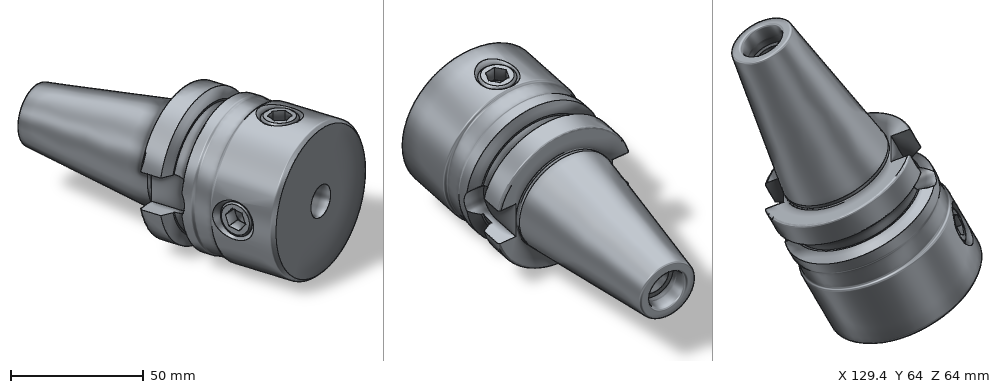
import cadquery as cq
import math


gauge_dia = 44.45
taper_ratio = 7 / 24
shank_length = 65.4
shank_end_fillet = 1.0
neck_dia = 44.0
neck_start = 0.8
neck_fillet = 0.5

flange_dia = 63.0
flange_start = 2.0
flange_fillet = 1.0
flange_end = 26.0
groove_dia = 52.7
groove_center = 16.6
groove_bottom_width = 5.0
groove_top_width = 10.06
groove_flank_angle = 30
collar_dia = 62.0
collar_start = 27.5

head_dia = 64.0
collar_end = 34.1
head_start = 36.0
head_end = 64.0
head_chamfer = 1.0
head_edge_radius = 1.1

keyway_width = 16.0
keyway_floor = 22.5
keyway_end = 23.0

through_dia = 13.5
pilot_dia = 17.0
pilot_length = 6.0
relief_dia = 17.6
relief_flare = 1.0
relief_end = 9.0
mouth_fillet = 1.0

screw_x = 45.4
screw_dia = 16.0
screw_face_dia = 12.7
screw_length = 16.0
seat_hole_dia = 14.38
seat_rim_dia = 18.6
hex_across_flats = 8.0
hex_depth = 6.0
hex_drill_dia = 8.0
hex_drill_angle = 120

screws_placement = [(0, 31.2, 38), (90, 30.4, 50)]


def s_curve(wire, start, end):
    """Add two equal tangent arcs that leave and arrive parallel to the axis."""
    dx = end[0] - start[0]
    dr = end[1] - start[1]
    middle = (start[0] + dx / 2, start[1] + dr / 2)
    wire = wire.tangentArcPoint(middle, relative=False)
    return wire.tangentArcPoint(end, relative=False)


def holder_blank():
    gauge_r = gauge_dia / 2
    small_r = (gauge_dia - shank_length * taper_ratio) / 2
    neck_r = neck_dia / 2
    flange_r = flange_dia / 2
    groove_r = groove_dia / 2
    collar_r = collar_dia / 2
    head_r = head_dia / 2
    half_bottom = groove_bottom_width / 2
    half_top = groove_top_width / 2
    flank_depth = (half_top - half_bottom) / math.tan(math.radians(groove_flank_angle))
    flank_r = flange_r - flank_depth
    bevel_x = head_end - head_chamfer
    bevel_r = head_r - head_edge_radius * (1 - math.cos(math.pi / 4))
    head_edge_start = bevel_x - head_edge_radius * math.sin(math.pi / 4)

    outline = (
        cq.Workplane("XY")
        .moveTo(-shank_length, 0)
        .lineTo(-shank_length, small_r)
        .lineTo(0, gauge_r)
        .lineTo(neck_start, neck_r)
        .lineTo(flange_start - neck_fillet, neck_r)
        .tangentArcPoint((flange_start, neck_r + neck_fillet), relative=False)
        .lineTo(flange_start, flange_r - flange_fillet)
        .tangentArcPoint((flange_start + flange_fillet, flange_r), relative=False)
        .lineTo(groove_center - half_top, flange_r)
        .lineTo(groove_center - half_bottom, flank_r)
        .lineTo(groove_center - half_bottom, groove_r)
        .lineTo(groove_center + half_bottom, groove_r)
        .lineTo(groove_center + half_bottom, flank_r)
        .lineTo(groove_center + half_top, flange_r)
        .lineTo(flange_end, flange_r)
    )
    outline = s_curve(outline, (flange_end, flange_r), (collar_start, collar_r))
    outline = outline.lineTo(collar_end, collar_r)
    outline = s_curve(outline, (collar_end, collar_r), (head_start, head_r))
    outline = (
        outline
        .lineTo(head_edge_start, head_r)
        .tangentArcPoint((bevel_x, bevel_r), relative=False)
        .lineTo(head_end, bevel_r - head_chamfer)
        .lineTo(head_end, 0)
        .close()
    )
    blank = outline.revolve(360, (0, 0, 0), (1, 0, 0))
    return blank.faces("<X").edges().fillet(shank_end_fillet)


def axial_bore():
    pilot_r = pilot_dia / 2
    relief_r = relief_dia / 2
    through_r = through_dia / 2
    mouth_r = pilot_r + mouth_fillet
    mouth_x = -shank_length
    relief_start = mouth_x + pilot_length + relief_flare
    shoulder_x = mouth_x + relief_end
    return (
        cq.Workplane("XY")
        .moveTo(mouth_x, 0)
        .lineTo(mouth_x, mouth_r)
        .radiusArc((mouth_x + mouth_fillet, pilot_r), -mouth_fillet)
        .lineTo(mouth_x + pilot_length, pilot_r)
        .lineTo(relief_start, relief_r)
        .lineTo(shoulder_x, relief_r)
        .lineTo(shoulder_x, through_r)
        .lineTo(head_end, through_r)
        .lineTo(head_end, 0)
        .close()
        .revolve(360, (0, 0, 0), (1, 0, 0))
    )


def keyway(side):
    """Round-ended slot on the +Y (side = 1) or -Y (side = -1) flank of the flange."""
    tip_center = keyway_end - keyway_width / 2
    length = tip_center - flange_start
    depth = head_dia / 2 - keyway_floor
    slot = (
        cq.Workplane("XY")
        .box(length, depth, keyway_width, centered=(False, False, True))
        .translate((flange_start, keyway_floor, 0))
    )
    tip = (
        cq.Workplane("XZ", origin=(tip_center, keyway_floor, 0))
        .circle(keyway_width / 2)
        .extrude(-depth)
    )
    slot = slot.union(tip)
    return slot if side > 0 else slot.mirror("XZ")


def place(shape, direction):
    """Move a shape built along Z at the origin to its screw position."""
    return shape.rotate((0, 0, 0), (1, 0, 0), direction).translate((screw_x, 0, 0))


def screw_blank(face_height):
    chamfer = (screw_dia - screw_face_dia) / 2
    return (
        cq.Workplane("XY", origin=(0, 0, face_height - screw_length))
        .circle(screw_dia / 2)
        .extrude(screw_length)
        .faces(">Z")
        .chamfer(chamfer)
    )


def hex_socket(face_height, turn):
    drill_r = hex_drill_dia / 2
    floor = face_height - hex_depth
    point_depth = drill_r / math.tan(math.radians(hex_drill_angle / 2))
    hexagon = (
        cq.Workplane("XY", origin=(0, 0, floor))
        .polygon(6, hex_across_flats / math.cos(math.pi / 6))
        .extrude(hex_depth)
        .rotate((0, 0, 0), (0, 0, 1), turn)
    )
    drill_point = (
        cq.Workplane("XZ")
        .moveTo(0, floor)
        .lineTo(drill_r, floor)
        .lineTo(0, floor - point_depth)
        .close()
        .revolve(360, (0, 0, 0), (0, 1, 0))
    )
    return hexagon.union(drill_point)


def seat(face_height):
    """Countersink, hole and the pocket that the screw fills."""
    head_r = head_dia / 2
    rim_r = seat_rim_dia / 2
    hole_r = seat_hole_dia / 2
    countersink_floor = head_r - (rim_r - hole_r)
    opening = (
        cq.Workplane("XZ")
        .moveTo(0, head_r)
        .lineTo(rim_r, head_r)
        .lineTo(hole_r, countersink_floor)
        .lineTo(hole_r, face_height - screw_length)
        .lineTo(0, face_height - screw_length)
        .close()
        .revolve(360, (0, 0, 0), (0, 1, 0))
    )
    return opening.union(screw_blank(face_height))


def clamp_screw(direction, face_height, turn):
    screw = screw_blank(face_height).cut(hex_socket(face_height, turn))
    return place(screw, direction)


holder = holder_blank().cut(axial_bore())
for side in (1, -1):
    holder = holder.cut(keyway(side))
for direction, face_height, turn in screws_placement:
    holder = holder.cut(place(seat(face_height), direction))

screws = [clamp_screw(*placement) for placement in screws_placement]

result = cq.Compound.makeCompound([holder.val(), *[screw.val() for screw in screws]])